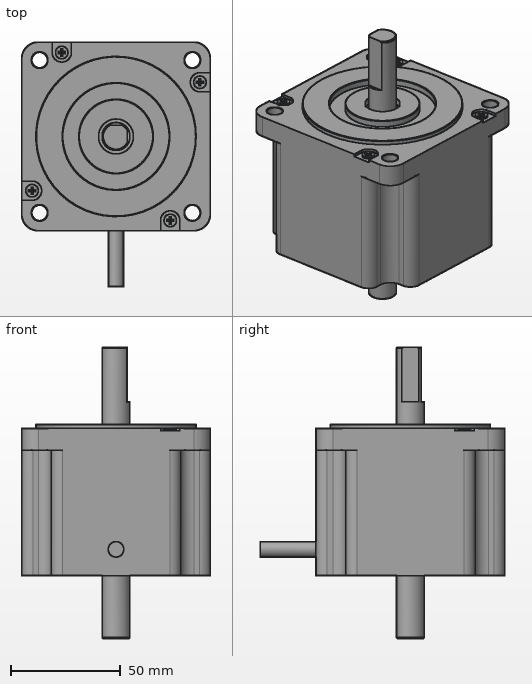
import cadquery as cq

BODY_WIDTH = 86.0
BODY_HEIGHT = 67.0
TOTAL_LENGTH = 132.8
HALF_WIDTH = BODY_WIDTH / 2

FLANGE_THICKNESS = 10.0
FLANGE_CORNER_RADIUS = 7.7
MOUNT_HOLE_PITCH = 69.6
MOUNT_HOLE_DIAMETER = 7.0
RIM_CHAMFER = 0.3

CORNER_RELIEF = 13.5
CORNER_INNER_RADIUS = 6.0
CORNER_OUTER_RADIUS = 5.0

PILOT_DIAMETER = 73.0
PILOT_HEIGHT = 2.0
RECESS_DIAMETER = 48.5
ISLAND_DIAMETER = 34.0
RECESS_DEPTH = 3.0
SHAFT_BORE_DIAMETER = 16.0

SHAFT_DIAMETER = 12.7
REAR_SHAFT_LENGTH = 28.7
FLAT_LENGTH = 25.0
FLAT_DEPTH = 1.3
SHAFT_CHAMFER = 0.5

SCREW_FROM_CORNER = 18.3
SCREW_FROM_SIDE = 4.8
SCREW_POCKET_WIDTH = 8.8
SCREW_POCKET_DEPTH = 1.2
SCREW_HEAD_DIAMETER = 5.7
SCREW_HEAD_HEIGHT = 0.8
CROSS_SPAN = 3.3
CROSS_ARM_WIDTH = 0.9
CROSS_DEPTH = 0.5
CROSS_TAPER = 20

CABLE_DIAMETER = 7.0
CABLE_LENGTH = 25.4
CABLE_HEIGHT = 12.0

PILOT_TOP = BODY_HEIGHT + PILOT_HEIGHT
RECESS_FLOOR = PILOT_TOP - RECESS_DEPTH
FLANGE_BOTTOM = BODY_HEIGHT - FLANGE_THICKNESS
SHAFT_TOP = TOTAL_LENGTH - REAR_SHAFT_LENGTH


def disc(diameter, bottom, top):
    """Solid cylinder on the motor axis between two levels."""
    return cq.Workplane("XY").workplane(offset=bottom).circle(diameter / 2).extrude(top - bottom)


def make_housing():
    """Square block whose four corners are notched below the flange."""
    housing = (
        cq.Workplane("XY")
        .rect(BODY_WIDTH, BODY_WIDTH)
        .extrude(BODY_HEIGHT)
        .edges("|Z")
        .fillet(FLANGE_CORNER_RADIUS)
    )
    return housing.cut(make_corner_waste())


def make_corner_waste():
    """Material outside the notched body outline, over the height below the flange."""
    notch_centers = [(x, y) for x in (-HALF_WIDTH, HALF_WIDTH) for y in (-HALF_WIDTH, HALF_WIDTH)]
    notches = (
        cq.Workplane("XY")
        .pushPoints(notch_centers)
        .rect(2 * CORNER_RELIEF, 2 * CORNER_RELIEF)
        .extrude(FLANGE_BOTTOM)
    )
    block = cq.Workplane("XY").rect(BODY_WIDTH, BODY_WIDTH).extrude(FLANGE_BOTTOM)
    core = block.cut(notches)
    root = HALF_WIDTH - CORNER_RELIEF
    margin = CORNER_RELIEF / 2
    near_root = cq.selectors.BoxSelector(
        (-root - margin, -root - margin, 0),
        (root + margin, root + margin, FLANGE_BOTTOM),
    )
    core = core.edges("|Z").edges(near_root).fillet(CORNER_INNER_RADIUS)
    core = core.edges("|Z").edges("<X or >X or <Y or >Y").fillet(CORNER_OUTER_RADIUS)
    return block.cut(core)


def flared_disc(diameter, bottom, top):
    """Disc widened at its top end, so that cutting it leaves a chamfered rim."""
    rim = (
        cq.Workplane("XY")
        .workplane(offset=top - RIM_CHAMFER)
        .circle(diameter / 2)
        .workplane(offset=RIM_CHAMFER)
        .circle(diameter / 2 + RIM_CHAMFER)
        .loft(ruled=True)
    )
    return disc(diameter, bottom, top).union(rim)


def drill_mount_holes(housing):
    hole = flared_disc(MOUNT_HOLE_DIAMETER, FLANGE_BOTTOM, BODY_HEIGHT)
    offset = MOUNT_HOLE_PITCH / 2
    for x in (-offset, offset):
        for y in (-offset, offset):
            housing = housing.cut(hole.translate((x, y, 0)))
    return housing


def add_pilot(housing):
    """Raised ring, ring-shaped recess, and a bored island level with the ring."""
    pilot = disc(PILOT_DIAMETER, BODY_HEIGHT, PILOT_TOP).faces(">Z").chamfer(RIM_CHAMFER)
    recess = flared_disc(RECESS_DIAMETER, RECESS_FLOOR, PILOT_TOP)
    island = disc(ISLAND_DIAMETER, RECESS_FLOOR, PILOT_TOP).faces(">Z").chamfer(RIM_CHAMFER)
    bore = disc(SHAFT_BORE_DIAMETER, RECESS_FLOOR, PILOT_TOP)
    return housing.union(pilot).cut(recess).union(island).cut(bore)


def make_shaft():
    """Through shaft with flats facing +X and +Y on its front end."""
    shaft = disc(SHAFT_DIAMETER, -REAR_SHAFT_LENGTH, SHAFT_TOP).faces("<Z or >Z").chamfer(SHAFT_CHAMFER)
    flat_waste = (
        cq.Workplane("XY")
        .box(FLAT_DEPTH, SHAFT_DIAMETER, FLAT_LENGTH, centered=(False, True, False))
        .translate((SHAFT_DIAMETER / 2 - FLAT_DEPTH, 0, SHAFT_TOP - FLAT_LENGTH))
    )
    for angle in (0, 90):
        shaft = shaft.cut(flat_waste.rotate((0, 0, 0), (0, 0, 1), angle))
    return shaft


def add_screws(housing):
    """Four pocketed cross-head screws, repeated every quarter turn."""
    x = -HALF_WIDTH + SCREW_FROM_CORNER
    y = HALF_WIDTH - SCREW_FROM_SIDE
    floor = BODY_HEIGHT - SCREW_POCKET_DEPTH
    head_top = floor + SCREW_HEAD_HEIGHT

    pocket = (
        cq.Workplane("XY", origin=(x, y, floor))
        .moveTo(-SCREW_POCKET_WIDTH / 2, SCREW_FROM_SIDE)
        .lineTo(-SCREW_POCKET_WIDTH / 2, 0)
        .threePointArc((0, -SCREW_POCKET_WIDTH / 2), (SCREW_POCKET_WIDTH / 2, 0))
        .lineTo(SCREW_POCKET_WIDTH / 2, SCREW_FROM_SIDE)
        .close()
        .extrude(SCREW_POCKET_DEPTH)
    )
    head = (
        cq.Workplane("XY", origin=(x, y, floor))
        .circle(SCREW_HEAD_DIAMETER / 2)
        .extrude(SCREW_HEAD_HEIGHT)
    )
    for span_x, span_y in ((CROSS_SPAN, CROSS_ARM_WIDTH), (CROSS_ARM_WIDTH, CROSS_SPAN)):
        arm = (
            cq.Workplane("XY", origin=(x, y, head_top))
            .rect(span_x, span_y)
            .extrude(-CROSS_DEPTH, taper=CROSS_TAPER)
        )
        head = head.cut(arm)

    for turn in range(4):
        angle = 90 * turn
        housing = housing.cut(pocket.rotate((0, 0, 0), (0, 0, 1), angle))
        housing = housing.union(head.rotate((0, 0, 0), (0, 0, 1), angle))
    return housing


def make_cable():
    return (
        cq.Workplane("XZ", origin=(0, -HALF_WIDTH, CABLE_HEIGHT))
        .circle(CABLE_DIAMETER / 2)
        .extrude(CABLE_LENGTH)
    )


housing = drill_mount_holes(make_housing())
housing = add_pilot(housing)
housing = add_screws(housing)
result = housing.union(make_shaft()).union(make_cable())